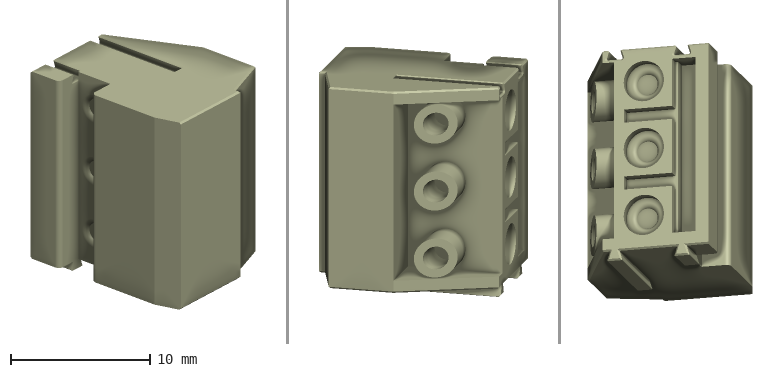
import cadquery as cq
import math

LENGTH = 13.6
DEPTH = 11.0
BODY_HEIGHT = 15.0
RAIL_HEIGHT = 0.7
RIM_CHAMFER = 0.13
TOLERANCE = 0.0002

REAR_CORNER_Y = 7.9
REAR_FLAT_START_X = 7.0
REAR_FLAT_END_X = 11.8
STEP_X = 13.14
STEP_Y = 7.2
FRONT_SLOPE_X = 11.6
FRONT_SLOPE_Y = 0.55

CHANNEL_START_X = 2.7
CHANNEL_END_X = 5.7
CHANNEL_DEPTH = 2.1
CHANNEL_EDGE_RADIUS = 0.4

POLE_PITCH = 5.0
POLE_HEIGHTS = [BODY_HEIGHT / 2 + i * POLE_PITCH for i in (-1, 0, 1)]
SCREW_X = 4.19
BUSHING_DIAMETER = 2.9
BUSHING_BORE = 1.7
WINDOW_END_X = REAR_FLAT_START_X
WINDOW_FLOOR_Y = 7.02
END_WALL = 0.93

HOLE_DIAMETER = 1.4
LIP_RADIUS = 0.41
CHANNEL_HOLE_DEPTH = 0.31
ENTRY_HOLE_DEPTH = 0.2
ENTRY_BORE = 3.0
ENTRY_BORE_DEPTH = 0.8
ENTRY_Y = 4.8

COMB_DEPTH = 0.9
COMB_START_Y = 0.95
COMB_END_Y = 2.7
FINGER_END_Y = 6.3
FINGER_HEIGHT = 0.97
COMB_END_WALL = 1.0
GROOVE_END_Y = 2.5
GROOVE_DEPTH = 1.88

LONG_RAIL_Y = 7.0
SHORT_RAIL_Y = 2.0
LONG_RAIL_LENGTH = 8.0
SHORT_RAIL_LENGTH = CHANNEL_START_X
KEY_NECK = 0.7
KEY_BASE = 1.15
KEY_BASE_RADIUS = 0.05
SLOT_NECK = 0.8
SLOT_BASE = 1.24
SLOT_FLOOR_RADIUS = 0.1
MOUTH_BEVEL = 0.1
RAIL_OVERLAP = 0.31
RAILS = [(LONG_RAIL_Y, LONG_RAIL_LENGTH), (SHORT_RAIL_Y, SHORT_RAIL_LENGTH)]


def box(x0, x1, y0, y1, z0, z1):
    """Axis-aligned block between opposite corners."""
    block = cq.Workplane("XY").box(x1 - x0, y1 - y0, z1 - z0, centered=False)
    return block.translate((x0, y0, z0))


def cylinder_y(diameter, y0, y1, z):
    """Cylinder along +Y on the screw axis."""
    return (
        cq.Workplane("XZ", origin=(SCREW_X, y0, z))
        .circle(diameter / 2)
        .extrude(y0 - y1)
    )


def is_chamfered_rim(edge):
    """True for end-face edges on the -X side, the rear sides and the +X side."""
    middle = edge.Center()
    is_left = middle.x < TOLERANCE
    is_rear = middle.y > STEP_Y - TOLERANCE
    is_right = middle.x > LENGTH - TOLERANCE
    return is_left or is_rear or is_right


def make_body():
    """Prism with the channel, its rounded edges and the chamfered end rims."""
    body = (
        cq.Workplane("XY")
        .polyline([
            (0, 0),
            (CHANNEL_START_X, 0),
            (CHANNEL_START_X, CHANNEL_DEPTH),
            (CHANNEL_END_X, CHANNEL_DEPTH),
            (CHANNEL_END_X, 0),
            (FRONT_SLOPE_X, 0),
            (LENGTH, FRONT_SLOPE_Y),
            (LENGTH, STEP_Y),
            (STEP_X, STEP_Y),
            (REAR_FLAT_END_X, DEPTH),
            (REAR_FLAT_START_X, DEPTH),
            (0, REAR_CORNER_Y),
        ])
        .close()
        .extrude(BODY_HEIGHT)
    )
    for x in (CHANNEL_START_X, CHANNEL_END_X):
        corner = cq.selectors.NearestToPointSelector((x, 0, BODY_HEIGHT / 2))
        body = body.edges(corner).fillet(CHANNEL_EDGE_RADIUS)
    rims = [edge for edge in body.faces("<Z or >Z").edges().vals() if is_chamfered_rim(edge)]
    return body.newObject(rims).chamfer(RIM_CHAMFER)


def dovetail(center_y, neck, base, neck_z, length, edge_radius, end_offset):
    """Dovetail bar along X, carried a little above neck_z.

    Over the last stretch toward the -X face its section grows by end_offset.
    """
    flank = (base - neck) / 2 / RAIL_HEIGHT
    top_half = neck / 2 - flank * RAIL_OVERLAP
    bar = (
        cq.Workplane("YZ", origin=(RIM_CHAMFER, center_y, neck_z))
        .polyline([
            (-top_half, RAIL_OVERLAP),
            (top_half, RAIL_OVERLAP),
            (base / 2, -RAIL_HEIGHT),
            (-base / 2, -RAIL_HEIGHT),
        ])
        .close()
        .extrude(length - RIM_CHAMFER)
        .edges("|X and <Z")
        .fillet(edge_radius)
    )
    section = bar.faces("<X").wires().val()
    end_section = section.offset2D(end_offset, "intersection")[0].translate((-RIM_CHAMFER, 0, 0))
    return bar.union(cq.Workplane(cq.Solid.makeLoft([end_section, section], True)))


def slot_mouth(center_y, length):
    """45 degree bevels along both edges of a slot."""
    top_half = SLOT_NECK / 2 + MOUTH_BEVEL
    return (
        cq.Workplane("YZ")
        .polyline([
            (center_y - top_half, BODY_HEIGHT),
            (center_y + top_half, BODY_HEIGHT),
            (center_y, BODY_HEIGHT - top_half),
        ])
        .close()
        .extrude(length)
    )


def add_rails(body):
    """Cut the slots into the top and hang the keys below the bottom."""
    for center_y, length in RAILS:
        slot = dovetail(
            center_y, SLOT_NECK, SLOT_BASE, BODY_HEIGHT, length, SLOT_FLOOR_RADIUS, RIM_CHAMFER
        )
        key = dovetail(center_y, KEY_NECK, KEY_BASE, 0, length, KEY_BASE_RADIUS, -RIM_CHAMFER)
        body = body.cut(slot).cut(slot_mouth(center_y, length))
        body = body.union(key)
    return body


def make_window():
    """Rear opening that leaves a bushing standing around each screw axis."""
    window = box(0, WINDOW_END_X, WINDOW_FLOOR_Y, DEPTH, END_WALL, BODY_HEIGHT - END_WALL)
    for z in POLE_HEIGHTS:
        bushing = cylinder_y(BUSHING_DIAMETER, WINDOW_FLOOR_Y, DEPTH, z)
        window = window.cut(bushing)
    return window


def lip_recess(plane, depth):
    """Flat-bottomed recess that stops part way down the rounded lip of a hole."""
    lip_angle = math.acos(1 - depth / LIP_RADIUS)

    def lip_point(angle):
        radius = HOLE_DIAMETER / 2 + LIP_RADIUS * (1 - math.sin(angle))
        return radius, LIP_RADIUS * (1 - math.cos(angle))

    section = cq.Plane(plane.origin, xDir=plane.xDir, normal=plane.xDir.cross(plane.zDir))
    return (
        cq.Workplane(section)
        .lineTo(*lip_point(0))
        .threePointArc(lip_point(lip_angle / 2), lip_point(lip_angle))
        .lineTo(0, depth)
        .close()
        .revolve(360, (0, 0), (0, 1))
    )


def cut_pole(body, z):
    """Bushing bore, channel hole and stepped -X entry of one pole."""
    channel_plane = cq.Plane((SCREW_X, CHANNEL_DEPTH, z), xDir=(1, 0, 0), normal=(0, 1, 0))
    entry_plane = cq.Plane((0, ENTRY_Y, z), xDir=(0, 1, 0), normal=(1, 0, 0))
    seat_plane = cq.Plane((ENTRY_BORE_DEPTH, ENTRY_Y, z), xDir=(0, 1, 0), normal=(1, 0, 0))
    return (
        body.cut(cylinder_y(BUSHING_BORE, WINDOW_FLOOR_Y, DEPTH, z))
        .cut(lip_recess(channel_plane, CHANNEL_HOLE_DEPTH))
        .cut(cq.Workplane(entry_plane).circle(ENTRY_BORE / 2).extrude(ENTRY_BORE_DEPTH))
        .cut(lip_recess(seat_plane, ENTRY_HOLE_DEPTH))
    )


def make_comb():
    """Upright groove with a shallow ledge and a finger between each pair of poles."""
    z0 = COMB_END_WALL
    z1 = BODY_HEIGHT - COMB_END_WALL
    comb = box(0, COMB_DEPTH, COMB_START_Y, COMB_END_Y, z0, z1)
    comb = comb.union(box(0, GROOVE_DEPTH, COMB_START_Y, GROOVE_END_Y, z0, z1))
    for lower, upper in zip(POLE_HEIGHTS, POLE_HEIGHTS[1:]):
        middle = (lower + upper) / 2
        finger = box(
            0, COMB_DEPTH, COMB_START_Y, FINGER_END_Y,
            middle - FINGER_HEIGHT / 2, middle + FINGER_HEIGHT / 2,
        )
        comb = comb.union(finger)
    return comb


result = add_rails(make_body())
result = result.cut(make_window())
for pole_z in POLE_HEIGHTS:
    result = cut_pole(result, pole_z)
result = result.cut(make_comb())